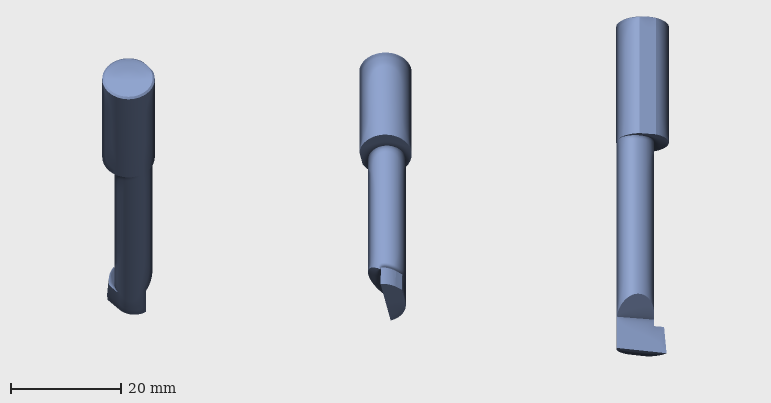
import cadquery as cq
import math

total_length = 63.5
shank_diameter = 9.5
shank_length = 22.85
shank_flat_y = 4.5
chamfer_width = 0.4
chamfer_height = 0.25

neck_diameter = 6.85
neck_x = (shank_diameter - neck_diameter) / 2

relief_height = 6.35
relief_angle = 45.0

head_height = 5.1
side_clearance = 5.0
head_flat_x = -1.5
head_corner = (-2.6, -2.5)
head_tip_x = -4.0
flank_bulge = 0.21

end_rise_x = 0.03
end_rise_y = 0.11

shank_radius = shank_diameter / 2
neck_radius = neck_diameter / 2
shank_bottom = total_length - shank_length
head_shift = head_height * math.tan(math.radians(side_clearance))


def make_shank():
    """Cylinder with a chamfered top rim and a flat on the +Y side."""
    shank = cq.Workplane("XY").workplane(offset=shank_bottom).circle(shank_radius).extrude(shank_length)
    shank = shank.faces(">Z").edges().chamfer(chamfer_height, chamfer_width)
    flat_cut = cq.Workplane("XY").box(
        shank_diameter, shank_radius, total_length, centered=(True, False, False)
    ).translate((0, shank_flat_y, 0))
    return shank.cut(flat_cut)


def make_neck():
    """Offset cylinder cut back to its mid-plane at the lower end, with a sloped run-out."""
    neck = cq.Workplane("XY").center(neck_x, 0).circle(neck_radius).extrude(shank_bottom)
    run_out = shank_radius / math.tan(math.radians(relief_angle))
    relief = (
        cq.Workplane("YZ")
        .polyline([(0, 0), (shank_radius, 0), (shank_radius, relief_height + run_out), (0, relief_height)])
        .close()
        .extrude(shank_diameter, both=True)
    )
    return neck.cut(relief)


def make_head():
    """Cutting head swept down from its top outline, leaning out toward -X."""
    chord_x = head_corner[0] - head_tip_x
    chord_y = head_corner[1]
    chord = math.hypot(chord_x, chord_y)
    flank_middle = (
        head_tip_x + chord_x / 2 + flank_bulge * chord_y / chord,
        chord_y / 2 - flank_bulge * chord_x / chord,
    )

    def outline(shift, height):
        def moved(point):
            return cq.Vector(point[0] + shift, point[1], height)

        tip = moved((head_tip_x, 0))
        corner = moved(head_corner)
        flat_end = moved((head_flat_x, -neck_radius))
        neck_front = cq.Vector(neck_x, -neck_radius, height)
        neck_middle = cq.Vector(neck_x, 0, height)
        flank = cq.Edge.makeThreePointArc(tip, moved(flank_middle), corner)
        path = [corner, flat_end, neck_front, neck_middle, tip]
        sides = [cq.Edge.makeLine(a, b) for a, b in zip(path, path[1:])]
        return cq.Wire.assembleEdges([flank] + sides)

    head = cq.Solid.makeLoft([outline(-head_shift, 0), outline(0, head_height)], True)
    return cq.Workplane(obj=head)


def make_end_cut():
    """Block below the inclined bottom face, which passes through the tip at Z = 0."""
    tip = (head_tip_x - head_shift, 0, 0)
    normal = cq.Vector(-end_rise_x, end_rise_y, 1)
    plane = cq.Plane(origin=tip, xDir=(1, 0, end_rise_x), normal=normal)
    size = 4 * shank_diameter
    return cq.Workplane(plane).rect(size, size).extrude(-shank_diameter)


result = make_shank().union(make_neck()).union(make_head()).cut(make_end_cut())